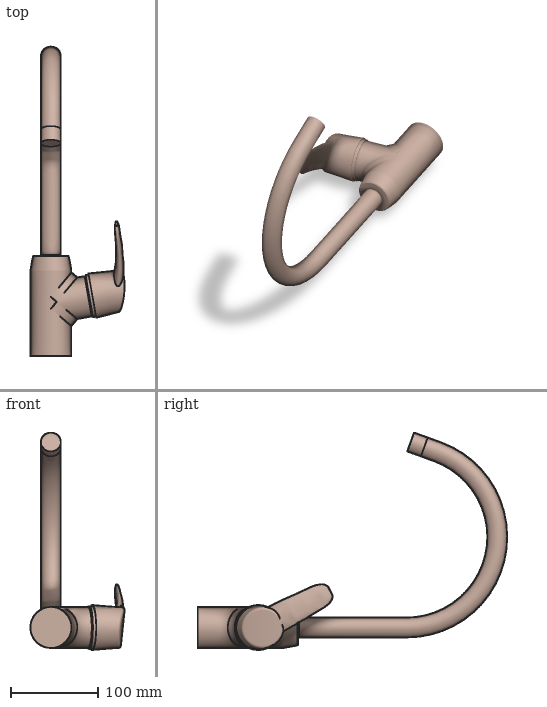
import cadquery as cq
import math

barrel_diameter = 47.0
barrel_length = 98.0
cap_top_y = 115.2
cap_shoulder_y = 114.2
cap_top_radius = 19.5
cap_shoulder_radius = 20.5
cap_bulge_y = 105.5
cap_bulge_radius = 22.5
branch_y = 61.0
branch_tilt = 10.0
branch_end = 43.3
crotch_reach = 6.7

spout_diameter = 23.0
neck_diameter = 21.0
neck_gap = 1.0
socket_depth = 10.5
bend_start_y = 239.5
bend_angle = 160.0
bend_radius = 354.5 - bend_start_y - spout_diameter / 2
spout_tail = 16.3
aerator_length = 16.5

collar_neck_diameter = 46.5
collar_diameter = 49.3
collar_neck_length = 1.5
collar_length = 5.0

head_start = branch_end + collar_length
head_start_radius = 26.0
head_end = 95.7
head_end_radius = 22.5
head_edge_fillet = 3.0
head_corner = (79.8, 49.5)
head_crown = (83.5, 74.5)
head_far_corner = (82.3, 106.5)
head_hinge_z = 10.5
head_lean = 6.0
lever_slope = 28.0
lever_sections = [
    ((71.0, 71.0, 0.0), 6.7, 15.5),
    ((76.2, 85.0, 7.0), 6.5, 16.3),
    ((78.0, 97.5, 14.0), 5.3, 16.3),
    ((78.7, 115.2, 23.0), 4.3, 15.2),
    ((76.5, 138.3, 35.0), 3.2, 14.0),
    ((75.5, 148.5, 40.5), 2.5, 10.3),
    ((75.0, 151.8, 42.2), 1.5, 6.0),
]
body_span = 142.0


def branch_solid(start, profile):
    """Revolve (distance, radius) points about the tilted branch axis."""
    outline = [(start, 0), *profile, (profile[-1][0], 0)]
    solid = cq.Workplane("XY").polyline(outline).close().revolve(360, (0, 0, 0), (1, 0, 0))
    return solid.rotate((0, 0, 0), (0, 0, 1), branch_tilt).translate((0, branch_y, 0))


def crotch_blend(barrel_angle):
    """Fill one crotch between the branch and the barrel half that points along barrel_angle."""
    radius = barrel_diameter / 2
    half_angle = math.radians((barrel_angle - branch_tilt) / 2)
    miter_angle = (barrel_angle + branch_tilt) / 2
    miter = math.radians(miter_angle)
    ellipse_length = radius / abs(math.sin(half_angle))
    sections = []
    for axis_angle in (barrel_angle, branch_tilt):
        axis = math.radians(axis_angle)
        center = (crotch_reach * math.cos(axis), branch_y + crotch_reach * math.sin(axis), 0)
        plane = cq.Plane(
            origin=center,
            xDir=(math.cos(miter), math.sin(miter), 0),
            normal=(math.sin(miter), -math.cos(miter), 0),
        )
        half_ellipse = (
            cq.Workplane(plane)
            .moveTo(0, -radius)
            .ellipseArc(ellipse_length, radius, -90, 90, startAtCurrent=True)
            .close()
        )
        sections.append(half_ellipse.val())
    return cq.Workplane(cq.Solid.makeLoft(sections, ruled=True))


def make_housing():
    barrel_radius = barrel_diameter / 2
    barrel = (
        cq.Workplane("XY")
        .lineTo(barrel_radius, 0)
        .lineTo(barrel_radius, barrel_length)
        .threePointArc((cap_bulge_radius, cap_bulge_y), (cap_shoulder_radius, cap_shoulder_y))
        .lineTo(cap_top_radius, cap_top_y)
        .lineTo(0, cap_top_y)
        .close()
        .revolve(360, (0, 0, 0), (0, 1, 0))
    )
    branch = branch_solid(0, [(0, barrel_radius), (branch_end, barrel_radius)])
    housing = barrel.union(branch)
    for barrel_angle in (90, -90):
        housing = housing.union(crotch_blend(barrel_angle))
    socket = (
        cq.Workplane("XZ", origin=(0, cap_top_y, 0))
        .circle(neck_diameter / 2)
        .extrude(socket_depth)
    )
    return housing.cut(socket)


def make_spout():
    tube_start_y = cap_top_y + neck_gap
    angle = math.radians(bend_angle)

    def bend_point(a):
        return (bend_start_y + bend_radius * math.sin(a), bend_radius * (1 - math.cos(a)))

    end_y, end_z = bend_point(angle)
    direction = (math.cos(angle), math.sin(angle))
    tail_end = (end_y + spout_tail * direction[0], end_z + spout_tail * direction[1])
    path = (
        cq.Workplane("YZ")
        .moveTo(tube_start_y, 0)
        .lineTo(bend_start_y, 0)
        .threePointArc(bend_point(angle / 2), (end_y, end_z))
        .lineTo(*tail_end)
    )
    tube = (
        cq.Workplane("XZ", origin=(0, tube_start_y, 0))
        .circle(spout_diameter / 2)
        .sweep(path)
    )
    neck = (
        cq.Workplane("XZ", origin=(0, tube_start_y, 0))
        .circle(neck_diameter / 2)
        .extrude(neck_gap + socket_depth)
    )
    tip_plane = cq.Plane(origin=(0, *tail_end), xDir=(1, 0, 0), normal=(0, *direction))
    aerator = cq.Workplane(tip_plane).circle(spout_diameter / 2).extrude(aerator_length)
    return tube.union(neck), aerator


def make_collar():
    neck_end = branch_end + collar_neck_length
    return branch_solid(branch_end, [
        (branch_end, collar_neck_diameter / 2),
        (neck_end, collar_neck_diameter / 2),
        (neck_end, collar_diameter / 2),
        (head_start, collar_diameter / 2),
    ])


def make_handle():
    outer_face = (
        cq.Workplane("XY", origin=(0, 0, -body_span / 2))
        .lineTo(head_corner[0], 0)
        .lineTo(*head_corner)
        .threePointArc(head_crown, head_far_corner)
        .lineTo(0, head_far_corner[1])
        .close()
        .extrude(body_span)
        .rotate((head_crown[0], 0, head_hinge_z), (head_crown[0], 1, head_hinge_z), head_lean)
    )
    head = branch_solid(head_start, [(head_start, head_start_radius), (head_end, head_end_radius)])
    head = head.intersect(outer_face)
    head = head.faces(">X").edges().fillet(head_edge_fillet)

    slope = math.radians(lever_slope)
    sections = []
    for center, half_thickness, half_width in lever_sections:
        plane = cq.Plane(origin=center, xDir=(1, 0, 0), normal=(0, math.cos(slope), math.sin(slope)))
        sections.append(cq.Workplane(plane).ellipse(half_thickness, half_width).val())
    lever = cq.Workplane(cq.Solid.makeLoft(sections))
    return head.union(lever)


housing = make_housing()
spout, aerator = make_spout()
collar = make_collar()
handle = make_handle()

result = cq.Compound.makeCompound(
    [body.solids().val() for body in (housing, spout, aerator, collar, handle)]
)